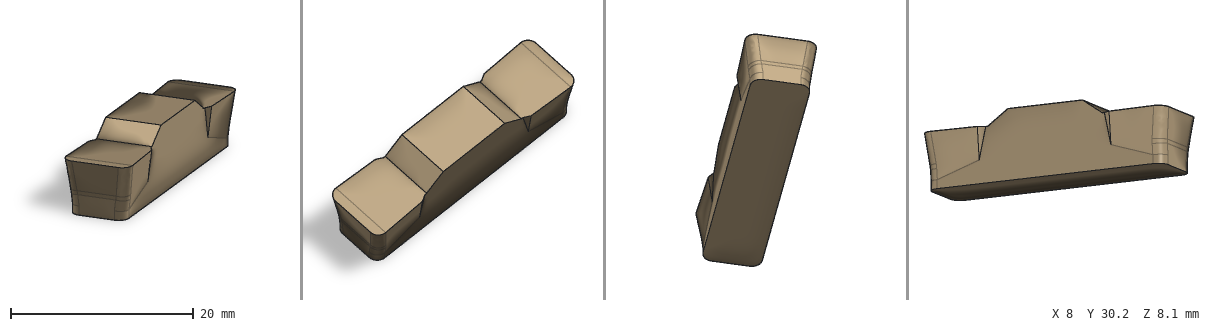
import cadquery as cq
import math

length = 30.17
height = 8.1
body_width = 6.65

ridge_half_length = 4.62
ridge_foot_y = 7.12

head_top_z = 6.37
head_half_width = 4.05
shoulder_half_width = 3.77
shoulder_y = 8.18
neck_y = 7.35
relief_angle = math.radians(7)
corner_radius = 1.2

crown_start_y = 13.9
crown_drop = 0.03

end_bend_z = 2.6
end_bend_radius = 3.83

half_length = length / 2
body_half_width = body_width / 2
end_foot_y = half_length - (head_top_z - crown_drop - end_bend_z) * math.tan(relief_angle)


def crown_midpoint():
    """Middle of the crown arc, which leaves the flat top tangentially."""
    run = half_length - crown_start_y
    radius = (run**2 + crown_drop**2) / (2 * crown_drop)
    half_angle = math.asin(run / radius) / 2
    y = crown_start_y + radius * math.sin(half_angle)
    z = head_top_z - radius * (1 - math.cos(half_angle))
    return y, z


def side_profile():
    """Whole side outline, wide enough to trim both the body and the heads."""
    crown_mid_y, crown_mid_z = crown_midpoint()
    crown_end_z = head_top_z - crown_drop
    profile = (
        cq.Workplane("YZ")
        .moveTo(-end_foot_y, 0)
        .lineTo(end_foot_y, 0)
        .lineTo(end_foot_y, end_bend_z)
        .lineTo(half_length, crown_end_z)
        .threePointArc((crown_mid_y, crown_mid_z), (crown_start_y, head_top_z))
        .lineTo(ridge_foot_y, head_top_z)
        .lineTo(ridge_half_length, height)
        .lineTo(-ridge_half_length, height)
        .lineTo(-ridge_foot_y, head_top_z)
        .lineTo(-crown_start_y, head_top_z)
        .threePointArc((-crown_mid_y, crown_mid_z), (-half_length, crown_end_z))
        .lineTo(-end_foot_y, end_bend_z)
        .close()
        .extrude(head_half_width, both=True)
    )
    margin = 0.15
    reach = head_half_width + margin
    low_z = end_bend_z - margin
    high_z = end_bend_z + margin
    bends = cq.selectors.BoxSelector((-reach, -half_length, low_z), (reach, half_length, high_z))
    return profile.edges("|X").edges(bends).fillet(end_bend_radius)


def flared_head():
    """Head at the +Y end, its sides leaning inward toward the bottom."""
    inward_shift = head_top_z * math.tan(relief_angle)
    neck_slope = (shoulder_half_width - body_half_width) / (shoulder_y - neck_y)
    root_y = neck_y - 0.3
    root_half_width = body_half_width - neck_slope * (neck_y - root_y)

    def section(shift):
        right_side = [
            (root_half_width - shift, root_y),
            (shoulder_half_width - shift, shoulder_y),
            (head_half_width - shift, half_length),
        ]
        return right_side + [(-x, y) for x, y in reversed(right_side)]

    return (
        cq.Workplane("XY")
        .polyline(section(inward_shift))
        .close()
        .workplane(offset=head_top_z)
        .polyline(section(0))
        .close()
        .loft(ruled=True)
    )


head = flared_head()
body = cq.Workplane("XY").box(body_width, length, height, centered=(True, True, False))
blank = body.union(head).union(head.mirror("XZ")).intersect(side_profile())

corner_zone_y = end_foot_y - corner_radius / 2
near_front = cq.selectors.BoxSelector((-length, -length, 0), (length, -corner_zone_y, height))
near_back = cq.selectors.BoxSelector((-length, corner_zone_y, 0), (length, length, height))
corner_zones = near_front + near_back
crown_zone_height = 0.15
crown_zone = cq.selectors.BoxSelector(
    (-length, -length, head_top_z - crown_zone_height),
    (length, length, height),
)
across = cq.selectors.ParallelDirSelector(cq.Vector(1, 0, 0))
result = blank.edges(corner_zones - across - crown_zone).fillet(corner_radius)